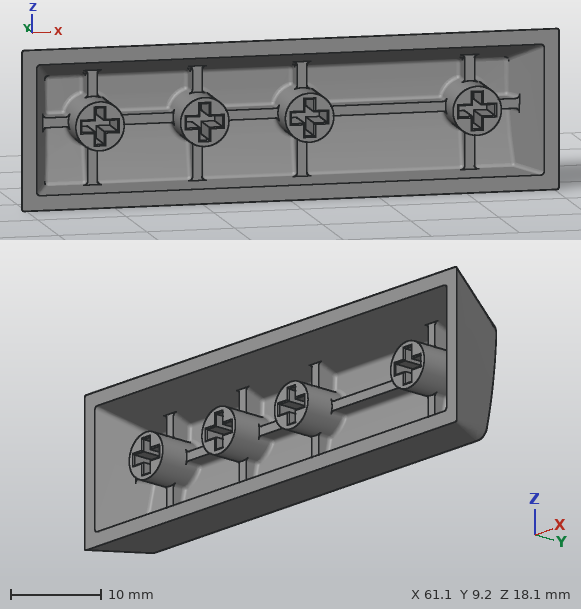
import cadquery as cq

RIM_LENGTH = 61.06
RIM_HEIGHT = 18.1
RIM_CORNER_RADIUS = 0.3
CAP_DEPTH = 9.2
WALL = 1.7
CAVITY_CORNER_RADIUS = 0.4

SIDE_LEAN_AT_TOP = 0.365
SIDE_LEAN_AT_BOTTOM = 0.415
TOP_LEAN = 0.369
BOTTOM_LEAN = 0.035

CORNER_GROWTH = 0.165
CAVITY_CORNER_GROWTH = 0.01

CROWN_RADIUS = 44.0
CROWN_APEX_Z = 5.0
CROWN_EDGE_FILLET = 0.5
CROWN_THICKNESS = 2.2
FLOOR_FILLET = 0.5

LOFT_DEPTH = 10.0

KEY_UNIT = 19.05
STEM_PLACES_IN_UNITS = [-1.125, -0.5, 0.125, 1.125]
STEM_XS = [place * KEY_UNIT for place in STEM_PLACES_IN_UNITS]
STEM_RADIUS = 2.75
STEM_START = 0.9
SOCKET_LENGTH = 4.1
SOCKET_UPRIGHT_WIDTH = 1.05
SOCKET_ACROSS_WIDTH = 1.25
SOCKET_CHAMFER = 0.15
SOCKET_DEPTH = 4.0

RIB_START = 4.5
RIB_WIDTH = 1.1
RIB_FILLET = 0.45


def wall_section(depth, inset, corner_radius):
    """Outline of the four walls at a depth, moved in by `inset`."""
    half_length = RIM_LENGTH / 2 - inset
    half_height = RIM_HEIGHT / 2 - inset
    top_x = half_length - SIDE_LEAN_AT_TOP * depth
    bottom_x = half_length - SIDE_LEAN_AT_BOTTOM * depth
    top_z = half_height - TOP_LEAN * depth
    bottom_z = BOTTOM_LEAN * depth - half_height
    corners = [(-bottom_x, bottom_z), (bottom_x, bottom_z), (top_x, top_z), (-top_x, top_z)]
    outline = cq.Sketch().polygon(corners + corners[:1]).vertices().fillet(corner_radius)
    return outline.moved(cq.Location(cq.Vector(0, 0, -depth)))


def leaning_block(inset, corner_radius, corner_growth):
    """Block between the four leaning walls, with corners that widen with depth."""
    rim = wall_section(0, inset, corner_radius)
    deep_end = wall_section(LOFT_DEPTH, inset, corner_radius + corner_growth * LOFT_DEPTH)
    return cq.Workplane("XZ").placeSketch(rim, deep_end).loft(ruled=True)


def crown_cylinder(offset):
    """Cylinder whose outside is the crown face, moved in by `offset`."""
    return (
        cq.Workplane("YZ", origin=(-RIM_LENGTH / 2, CAP_DEPTH - CROWN_RADIUS, CROWN_APEX_Z))
        .circle(CROWN_RADIUS - offset)
        .extrude(RIM_LENGTH)
    )


def crown_edges(solid):
    """Edges around the crown face."""
    return solid.faces(">Y").edges()


def make_outside():
    """Closed cap without its hollow."""
    block = leaning_block(0, RIM_CORNER_RADIUS, CORNER_GROWTH).intersect(crown_cylinder(0))
    return crown_edges(block).fillet(CROWN_EDGE_FILLET)


def make_cavity():
    """Space inside the walls and the crown, before the ribs and stems."""
    block = leaning_block(WALL, CAVITY_CORNER_RADIUS, CAVITY_CORNER_GROWTH)
    block = block.intersect(crown_cylinder(CROWN_THICKNESS))
    return crown_edges(block).fillet(FLOOR_FILLET)


def make_rib(x, length, height):
    """Rectangular bar from the rib face to the crown."""
    start = cq.Workplane("XZ", origin=(x, RIB_START, 0))
    return start.rect(length, height).extrude(RIB_START - CAP_DEPTH)


def make_stem(x):
    start = cq.Workplane("XZ", origin=(x, STEM_START, 0))
    return start.circle(STEM_RADIUS).extrude(STEM_START - CAP_DEPTH)


def make_supports():
    """Ribs and stems, reaching past the cavity into the walls and the crown."""
    supports = make_rib(0, RIM_LENGTH, RIB_WIDTH)
    for x in STEM_XS:
        supports = supports.union(make_rib(x, RIB_WIDTH, RIM_HEIGHT)).union(make_stem(x))
    return supports


def make_socket_arm(x, length, height):
    """One bar of the cross, widened by a chamfer at its mouth."""
    start = cq.Workplane("XZ", origin=(x, STEM_START, 0))
    bar = start.rect(length, height).extrude(-SOCKET_DEPTH)
    mouth = (
        start.rect(length + 2 * SOCKET_CHAMFER, height + 2 * SOCKET_CHAMFER)
        .workplane(offset=-SOCKET_CHAMFER)
        .rect(length, height)
        .loft(ruled=True)
    )
    return bar.union(mouth)


def make_socket(x):
    """Cross-shaped hole in the end of a stem."""
    across = make_socket_arm(x, SOCKET_LENGTH, SOCKET_ACROSS_WIDTH)
    upright = make_socket_arm(x, SOCKET_UPRIGHT_WIDTH, SOCKET_LENGTH)
    return across.union(upright)


def support_fillet_edges(room):
    """Edges where ribs and stems meet their surroundings, without the edges of their flat ends."""
    flat_edges = room.faces("|Y").edges().vals()
    support_edges = room.faces("|X or |Z").edges().vals()
    reach = STEM_RADIUS + RIB_FILLET
    for x in STEM_XS:
        near_corner = (x - reach, RIB_START, -reach)
        far_corner = (x + reach, CAP_DEPTH, reach)
        support_edges += room.edges(cq.selectors.BoxSelector(near_corner, far_corner)).vals()
    return [edge for edge in support_edges if not any(edge.isSame(flat) for flat in flat_edges)]


def make_room():
    """Hollow left between the walls, the crown, the ribs and the stems."""
    room = make_cavity().cut(make_supports())
    return room.newObject(support_fillet_edges(room)).fillet(RIB_FILLET)


result = make_outside().cut(make_room())
for x in STEM_XS:
    result = result.cut(make_socket(x))